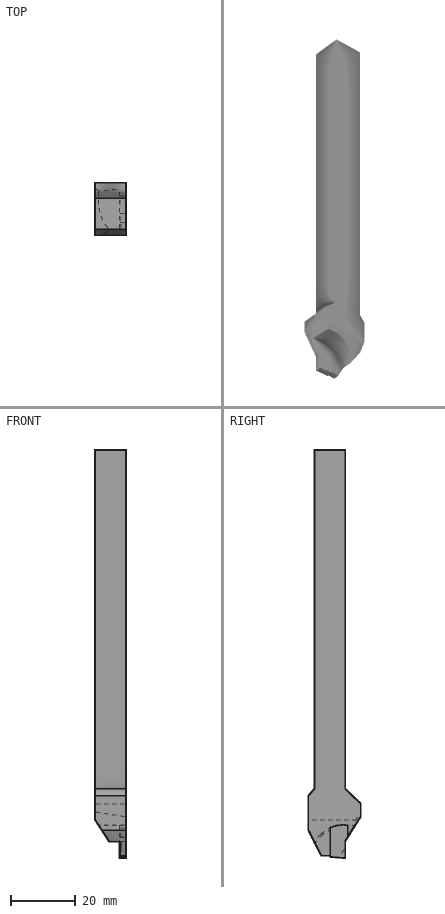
import cadquery as cq

total_height = 127.0
shank_size = 9.7
head_front = -1.9
head_back = 14.5
neck_height = 21.6
front_shoulder_height = 19.4
back_shoulder_height = 17.0
back_flank_height = 13.0
front_flank_height = 8.8
blade_bottom = 0.8
blade_toe = 2.2
back_flank_end = 5.3
flank_slope = (back_flank_height - back_flank_end) / (head_back - shank_size)
back_flank_rise = 1.5

bevel_height = 12.0
bevel_run = 7.7

blade_thickness = 2.0
blade_face = shank_size - blade_thickness
insert_front = 5.0
insert_back = 10.4
rake_face = shank_size
insert_heel = 0.4
recess_top = 10.3
recess_arc_mid = 9.5
recess_end = 5.1

relief_depth = 0.45
relief_ledge = 0.6
tip_relief_depth = 0.1
tip_relief_height = 3.5
tip_relief_front = 7.5

margin = 6.4


def front_flank_y(z):
    """Y of the front flank at height z."""
    run = blade_toe - head_front
    return head_front + run * (front_flank_height - z) / (front_flank_height - blade_bottom)


def back_flank_y(z):
    """Y of the back flank on the +X face at height z."""
    return head_back - (back_flank_height - z) / flank_slope


def back_flank_z(y):
    """Height of the back flank on the +X face at y."""
    return back_flank_height - flank_slope * (head_back - y)


def prism_x(outline, x_start, x_end):
    """Extrude an outline of (Y, Z) points along X."""
    return cq.Workplane("YZ", origin=(x_start, 0, 0)).polyline(outline).close().extrude(x_end - x_start)


def make_blank():
    """Shank, head and blade in full thickness."""
    outline = [
        (0, total_height),
        (shank_size, total_height),
        (shank_size, neck_height),
        (head_back, back_shoulder_height),
        (head_back, back_flank_height),
        (back_flank_y(blade_bottom), blade_bottom),
        (blade_toe, blade_bottom),
        (head_front, front_flank_height),
        (head_front, front_shoulder_height),
        (0, neck_height),
    ]
    return prism_x(outline, 0, shank_size)


def make_back_flank_cutter():
    """Wedge that tilts the back flank so that it is set back towards -X."""

    def flank_section(rise):
        low_z = blade_bottom - margin
        high_z = back_flank_height + margin
        low_y = back_flank_y(low_z - rise)
        high_y = back_flank_y(high_z - rise)
        return [(low_y, low_z), (high_y, high_z), (high_y + margin, high_z), (high_y + margin, low_z)]

    return (
        cq.Workplane("YZ").polyline(flank_section(back_flank_rise)).close()
        .workplane(offset=shank_size).polyline(flank_section(0)).close()
        .loft(ruled=True)
    )


def make_bevel_cutter():
    """Triangular prism that bevels the lower -X side."""
    return (
        cq.Workplane("XZ", origin=(0, head_back + margin, 0))
        .moveTo(0, bevel_height)
        .lineTo(bevel_run, 0)
        .lineTo(0, 0)
        .close()
        .extrude(head_back - head_front + 2 * margin)
    )


def recess_region(x_start, x_end):
    """Region below the recess wall: flat at the back, then falling in an arc to the front flank."""
    recess_front = front_flank_y(recess_end)
    return (
        cq.Workplane("YZ", origin=(x_start, 0, 0))
        .moveTo(head_back + margin, recess_top)
        .lineTo(insert_back, recess_top)
        .threePointArc((insert_front, recess_arc_mid), (recess_front, recess_end))
        .lineTo(recess_front - margin, recess_end)
        .lineTo(recess_front - margin, -margin)
        .lineTo(head_back + margin, -margin)
        .close()
        .extrude(x_end - x_start)
    )


def make_blade_relief():
    """Taper on the blade in front of the insert, deepest at the front, with a ledge above it."""
    front_y = front_flank_y(recess_end)
    taper = (
        cq.Workplane("XY", origin=(0, 0, -margin))
        .moveTo(blade_face, insert_front)
        .lineTo(blade_face, front_y)
        .lineTo(blade_face + relief_depth, front_y)
        .close()
        .extrude(recess_top + margin)
    )
    return taper.intersect(recess_region(0, shank_size).translate((0, 0, -relief_ledge)))


def make_insert_blank():
    """Insert filling the middle of the blade up to the recess wall."""
    outline = [
        (insert_front, recess_top + margin),
        (insert_back, recess_top + margin),
        (insert_back, back_flank_z(insert_back)),
        (rake_face, back_flank_z(rake_face)),
        (rake_face, 0),
        (insert_front, insert_heel),
    ]
    return prism_x(outline, blade_face, shank_size).intersect(recess_region(blade_face, shank_size))


def make_tip_relief():
    """Shallow triangular relief beside the cutting tip."""
    outline = [(rake_face, tip_relief_height), (rake_face, 0), (tip_relief_front, 0)]
    return prism_x(outline, blade_face, blade_face + tip_relief_depth)


def make_insert():
    return make_insert_blank().cut(make_tip_relief())


def make_insert_seat():
    """Space in the holder for the insert, open at the bottom."""
    outline = [
        (insert_front, recess_top + margin),
        (insert_back, recess_top + margin),
        (insert_back, -margin),
        (insert_front, -margin),
    ]
    return prism_x(outline, blade_face, shank_size).intersect(recess_region(blade_face, shank_size))


def make_holder():
    return (
        make_blank()
        .cut(make_back_flank_cutter())
        .cut(make_bevel_cutter())
        .cut(recess_region(0, blade_face))
        .cut(make_blade_relief())
        .cut(make_insert_seat())
    )


holder = make_holder()
insert = make_insert()
result = cq.Compound.makeCompound([holder.solids().val(), insert.solids().val()])